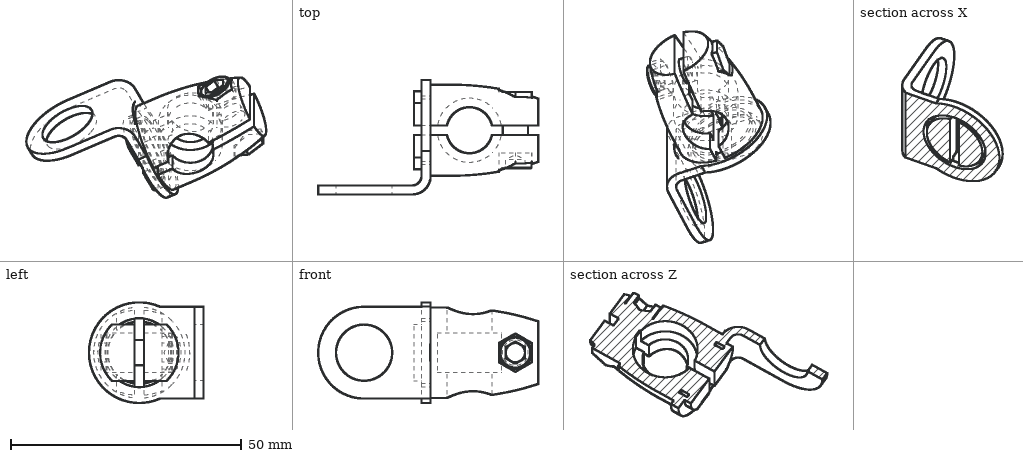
import cadquery as cq
import math

total_length = 47.9
sheet = 2.0
tab_radius = 10.0
tab_hole_radius = 6.1
disc_radius = 10.95
disc_hole_radius = 7.45
bracket_depth = 24.95
bend_outer_radius = 4.0
disc_front_x = 24.5
disc_back_x = disc_front_x - sheet
tab_outer_y = disc_radius - bracket_depth
tab_inner_y = tab_outer_y + sheet

collar_radius = 9.9
collar_end_x = 27.9
shoulder_x = 38.0
shoulder_radius = 9.25
nose_radius = 6.9
neck_radius = 6.8
flange_radius = 8.55
flange_height = 12.25
flange_thickness = 1.65
rod_radius = 5.0
rod_x = 32.9
relief_radius = 7.0
relief_height = 8.6
slot_width = 2.0

cutter_size = 3 * total_length

screw_x = 42.85
shank_radius = 2.8
screw_half_length = 8.35
seat_y = 5.0
nut_across_flats = 7.2
screw_head_radius = 3.55
screw_head_chamfer = 0.3
socket_across_flats = 4.15
socket_depth = 2.0
socket_cone_depth = 0.95


def cylinder_x(radius, start_x, end_x):
    return cq.Workplane("YZ", origin=(start_x, 0, 0)).circle(radius).extrude(end_x - start_x)


def cylinder_y(radius, start_y, end_y):
    """Cylinder on the screw axis."""
    plane = cq.Workplane("XZ", origin=(screw_x, start_y, 0))
    return plane.circle(radius).extrude(start_y - end_y)


def hexagon_y(across_flats, start_y, end_y):
    """Hexagonal prism on the screw axis, with corners pointing along Z."""
    corner_diameter = across_flats / math.cos(math.pi / 6)
    plane = cq.Workplane("XZ", origin=(screw_x, start_y, 0))
    prism = plane.polygon(6, corner_diameter).extrude(start_y - end_y)
    return prism.rotate((screw_x, 0, 0), (screw_x, 1, 0), 30)


def make_bracket():
    bend_start_x = disc_front_x - bend_outer_radius
    strip = (
        cq.Workplane("XY", origin=(0, 0, -tab_radius))
        .moveTo(tab_radius, tab_outer_y)
        .lineTo(bend_start_x, tab_outer_y)
        .radiusArc((disc_front_x, tab_outer_y + bend_outer_radius), -bend_outer_radius)
        .lineTo(disc_front_x, 0)
        .lineTo(disc_back_x, 0)
        .lineTo(disc_back_x, tab_outer_y + bend_outer_radius)
        .radiusArc((bend_start_x, tab_inner_y), bend_outer_radius - sheet)
        .lineTo(tab_radius, tab_inner_y)
        .close()
        .extrude(2 * tab_radius)
    )
    tab_plane = cq.Workplane("XZ", origin=(tab_radius, tab_inner_y, 0))
    tab_end = tab_plane.circle(tab_radius).extrude(sheet)
    tab_hole = tab_plane.circle(tab_hole_radius).extrude(sheet)
    disc = cylinder_x(disc_radius, disc_back_x, disc_front_x)
    disc_hole = cylinder_x(disc_hole_radius, disc_back_x, disc_front_x)
    return strip.union(tab_end).union(disc).cut(tab_hole).cut(disc_hole)


def make_body():
    barrel = (
        cq.Workplane("XY")
        .moveTo(disc_front_x, 0)
        .lineTo(disc_front_x, collar_radius)
        .lineTo(collar_end_x, collar_radius)
        .threePointArc((shoulder_x, shoulder_radius), (total_length, nose_radius))
        .lineTo(total_length, 0)
        .close()
        .revolve(360, (0, 0, 0), (1, 0, 0))
    )
    neck = cylinder_x(neck_radius, disc_back_x, disc_front_x)

    flange_x = disc_back_x - flange_thickness
    flange = cylinder_x(flange_radius, flange_x, disc_back_x)
    flats = cq.Workplane("XY").box(cutter_size, cutter_size, flange_height)
    flange = flange.intersect(flats)

    rod_hole = (
        cq.Workplane("XY", origin=(rod_x, 0, -cutter_size / 2))
        .circle(rod_radius)
        .extrude(cutter_size)
    )
    relief = (
        cq.Workplane("XY", origin=(rod_x, 0, -relief_height / 2))
        .circle(relief_radius)
        .extrude(relief_height)
    )
    slot = cq.Workplane("XY").box(cutter_size, slot_width, cutter_size)
    body = barrel.union(neck).union(flange).cut(rod_hole).cut(relief).cut(slot)

    for side in (-1, 1):
        body = body.cut(hexagon_y(nut_across_flats, side * seat_y, side * collar_radius))
    return body


def make_screw():
    shank = cylinder_y(shank_radius, -seat_y, seat_y)
    nut = hexagon_y(nut_across_flats, seat_y, screw_half_length)
    head = cylinder_y(screw_head_radius, -seat_y, -screw_half_length)
    head = head.faces("<Y").chamfer(screw_head_chamfer)

    socket_floor_y = socket_depth - screw_half_length
    socket = hexagon_y(socket_across_flats, -screw_half_length, socket_floor_y)
    cone = cq.Workplane(
        cq.Solid.makeCone(
            socket_across_flats / 2,
            0,
            socket_cone_depth,
            pnt=cq.Vector(screw_x, socket_floor_y, 0),
            dir=cq.Vector(0, 1, 0),
        )
    )
    return shank.union(nut).union(head).cut(socket).cut(cone)


result = make_bracket().union(make_body()).union(make_screw())